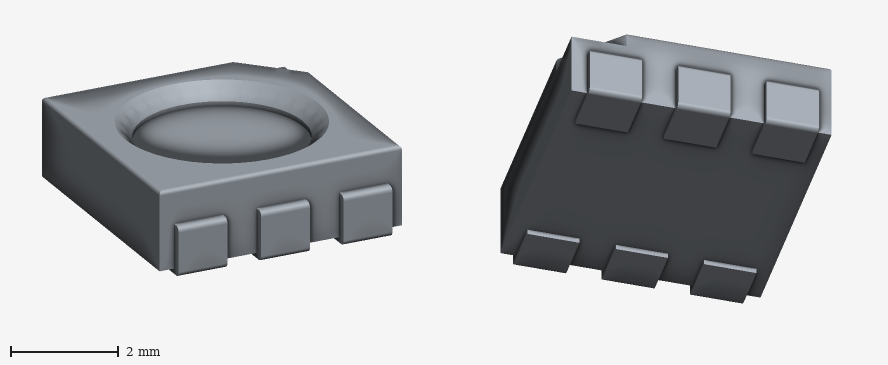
import cadquery as cq

overall_length = 5.4
body_side = 5.0
overall_height = 1.7
standoff = 0.1
top_edge_radius = 0.08

notch_leg = 1.06
notch_depth = 0.32

cup_top_diameter = 3.975
cup_floor_diameter = 3.33
cone_depth = 0.3
well_depth = 0.1

terminal_size = 1.005
terminal_pitch = 1.7
terminal_edge_radius = 0.1
terminals_per_side = 3


def make_body():
    """Square block with a notched corner and a rounded edge around its top face."""
    block = cq.Workplane("XY").workplane(offset=standoff).rect(body_side, body_side)
    block = block.extrude(overall_height - standoff)
    return block.cut(make_notch()).faces(">Z").edges().fillet(top_edge_radius)


def make_notch():
    """Triangular prism that removes the top of one corner."""
    corner = body_side / 2
    return (
        cq.Workplane("XY")
        .workplane(offset=overall_height - notch_depth)
        .moveTo(-corner, corner)
        .lineTo(-corner + notch_leg, corner)
        .lineTo(-corner, corner - notch_leg)
        .close()
        .extrude(notch_depth)
    )


def make_cup():
    """Volume of the reflector cup, open at the top face."""
    cone_bottom = overall_height - cone_depth
    floor = cone_bottom - well_depth
    return (
        cq.Workplane("XZ")
        .moveTo(0, floor)
        .lineTo(cup_floor_diameter / 2, floor)
        .lineTo(cup_floor_diameter / 2, cone_bottom)
        .lineTo(cup_top_diameter / 2, overall_height)
        .lineTo(0, overall_height)
        .close()
        .revolve(360, (0, 0, 0), (0, 1, 0))
    )


def make_terminal(side, y_center):
    """Terminal block with rounded outer edges; side is -1 or +1 along X."""
    x_center = side * (overall_length - terminal_size) / 2
    outer_face = ">X" if side > 0 else "<X"
    return (
        cq.Workplane("XY")
        .box(terminal_size, terminal_size, terminal_size, centered=(True, True, False))
        .faces(outer_face)
        .edges("|Y")
        .fillet(terminal_edge_radius)
        .translate((x_center, y_center, 0))
    )


result = make_body().cut(make_cup())
for side in (-1, 1):
    for index in range(terminals_per_side):
        y_center = (index - (terminals_per_side - 1) / 2) * terminal_pitch
        result = result.union(make_terminal(side, y_center))